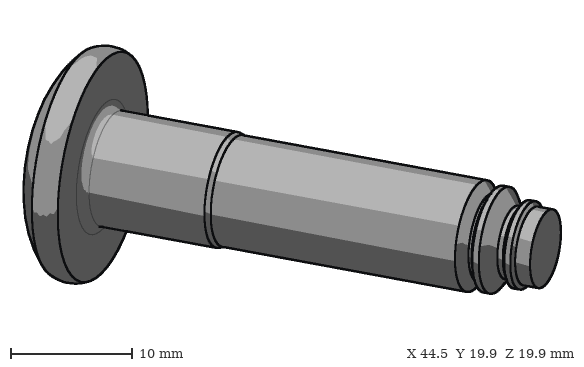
import cadquery as cq

rim_start_x = 2.6
head_depth = 4.9
step_start_x = 16.0
step_end_x = 16.5
shank_end_x = 38.35
total_length = 44.5

crown_radius = 3.6
dome_mid_x = 1.15
dome_mid_radius = 7.88
rim_edge_radius = 9.65
head_radius = 19.9 / 2
neck_fillet = 0.8

neck_radius = 9.75 / 2
shank_radius = 9.4 / 2

first_groove_radius = 7.45 / 2
first_groove_start_x = 39.15
first_groove_end_x = 39.43
first_collar_radius = 9.0 / 2
first_collar_start_x = 39.83
first_collar_end_x = 40.4

second_groove_radius = 6.2 / 2
second_groove_start_x = 41.47
second_groove_end_x = 41.95
second_collar_radius = 7.45 / 2
second_collar_start_x = 42.35
second_collar_end_x = 42.9

tip_radius = 6.65 / 2
tip_start_x = 43.15


def add_head(profile):
    """Flat crown, domed face, rounded rim and flat underside."""
    rim_mid_x = (rim_start_x + head_depth) / 2
    return (
        profile.lineTo(0, crown_radius)
        .threePointArc((dome_mid_x, dome_mid_radius), (rim_start_x, rim_edge_radius))
        .threePointArc((rim_mid_x, head_radius), (head_depth, rim_edge_radius))
        .lineTo(head_depth, neck_radius + neck_fillet)
    )


def add_shank(profile):
    """Concave neck fillet, neck, short taper and the long shank."""
    return (
        profile.radiusArc((head_depth + neck_fillet, neck_radius), -neck_fillet)
        .lineTo(step_start_x, neck_radius)
        .lineTo(step_end_x, shank_radius)
        .lineTo(shank_end_x, shank_radius)
    )


def add_grooved_end(profile):
    """Two tapered grooves, each followed by a collar, then the plain tip."""
    return (
        profile.lineTo(first_groove_start_x, first_groove_radius)
        .lineTo(first_groove_end_x, first_groove_radius)
        .lineTo(first_collar_start_x, first_collar_radius)
        .lineTo(first_collar_end_x, first_collar_radius)
        .lineTo(second_groove_start_x, second_groove_radius)
        .lineTo(second_groove_end_x, second_groove_radius)
        .lineTo(second_collar_start_x, second_collar_radius)
        .lineTo(second_collar_end_x, second_collar_radius)
        .lineTo(tip_start_x, tip_radius)
        .lineTo(total_length, tip_radius)
        .lineTo(total_length, 0)
    )


half_profile = cq.Workplane("XY").moveTo(0, 0)
half_profile = add_head(half_profile)
half_profile = add_shank(half_profile)
half_profile = add_grooved_end(half_profile)
result = half_profile.close().revolve(360, (0, 0, 0), (1, 0, 0))